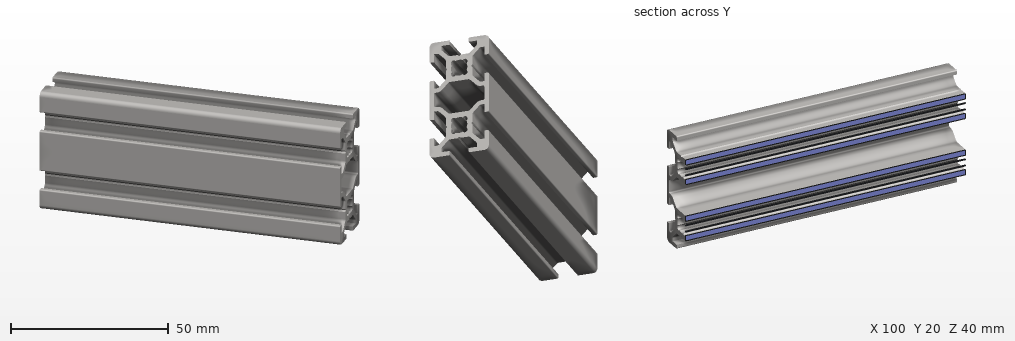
import cadquery as cq
import math

length = 100.0
cell = 20.0
half_cell = cell / 2
corner_radius = 1.5

wall = 1.5
mouth_half = 3.2
lip_radius = 0.4
floor_distance = 4.5
slot_half = 6.0
groove_half = 0.5
groove_depth = 0.4

web_shift = wall / math.sqrt(2)
lip_inside = half_cell - wall
floor_half = floor_distance - web_shift
bend_radius = 1.0

bore_diameter = 5.5
lobe_radius = 0.9
lobe_offset = 1.9

cavity_side = half_cell - wall
cavity_shoulder = slot_half + wall
cavity_fillet = 0.5
shoulder_radius = bend_radius + wall

cell_centres = (-half_cell, half_cell)


def extrude_profile(profile):
    """Extrude a closed YZ profile to the full length, centred on X = 0."""
    return profile.extrude(length / 2, both=True)


def round_bends(body, bends, radius):
    """Round the X edges that pass through the given (y, z) bends and their mirror images in Y."""
    for y, z in bends:
        for side in (-1, 1):
            nearest = cq.selectors.NearestToPointSelector((0, side * y, z))
            body = body.edges("|X").edges(nearest).fillet(radius)
    return body


def slot_cutter():
    """T-slot void of a cell centred on the origin, opening towards +Z."""
    arc_inset = lip_radius * (1 - math.sqrt(0.5))
    right_side = [
        (mouth_half, lip_inside),
        (slot_half, lip_inside),
        (slot_half, slot_half + web_shift),
        (floor_half, floor_distance),
        (groove_half, floor_distance),
    ]
    left_side = [(-y, z) for y, z in reversed(right_side)]
    profile = (
        cq.Workplane("YZ")
        .moveTo(mouth_half + lip_radius, half_cell)
        .threePointArc(
            (mouth_half + arc_inset, half_cell - arc_inset),
            (mouth_half, half_cell - lip_radius),
        )
    )
    for point in right_side:
        profile = profile.lineTo(*point)
    profile = profile.lineTo(0, floor_distance - groove_depth)
    for point in left_side:
        profile = profile.lineTo(*point)
    profile = profile.lineTo(-mouth_half, half_cell - lip_radius).threePointArc(
        (-mouth_half - arc_inset, half_cell - arc_inset),
        (-mouth_half - lip_radius, half_cell),
    )
    bends = [(slot_half, slot_half + web_shift), (floor_half, floor_distance)]
    return round_bends(extrude_profile(profile.close()), bends, bend_radius)


def core_cutter():
    """Lobed core hole of a cell centred on the origin."""
    bore = extrude_profile(cq.Workplane("YZ").circle(bore_diameter / 2))
    lobe_profile = (
        cq.Workplane("YZ")
        .rect(2 * lobe_offset, 2 * lobe_offset, forConstruction=True)
        .vertices()
        .circle(lobe_radius)
    )
    return bore.union(extrude_profile(lobe_profile))


def cavity_cutter():
    """Closed octagon-like chamber between the two cells, centred on the origin."""
    side_top = half_cell - cavity_shoulder
    roof = half_cell - floor_distance
    upper_half = [
        (cavity_side, side_top),
        (cavity_shoulder - web_shift, side_top),
        (floor_half, roof),
        (-floor_half, roof),
        (-cavity_shoulder + web_shift, side_top),
        (-cavity_side, side_top),
    ]
    lower_half = [(-y, -z) for y, z in upper_half]
    cavity = extrude_profile(cq.Workplane("YZ").polyline(upper_half + lower_half).close())
    cavity = cavity.faces("<Y or >Y").edges("|X").fillet(cavity_fillet)
    shoulder_y = cavity_shoulder - web_shift
    cavity = round_bends(cavity, [(shoulder_y, side_top), (shoulder_y, -side_top)], shoulder_radius)
    return round_bends(cavity, [(floor_half, roof), (floor_half, -roof)], bend_radius)


bar = extrude_profile(cq.Workplane("YZ").rect(cell, 2 * cell))
result = bar.edges("|X").fillet(corner_radius)

for centre_z in cell_centres:
    outer_angle = 0 if centre_z > 0 else 180
    for angle in (outer_angle, 90, -90):
        slot = slot_cutter().rotate((0, 0, 0), (1, 0, 0), angle)
        result = result.cut(slot.translate((0, 0, centre_z)))
    result = result.cut(core_cutter().translate((0, 0, centre_z)))

result = result.cut(cavity_cutter())